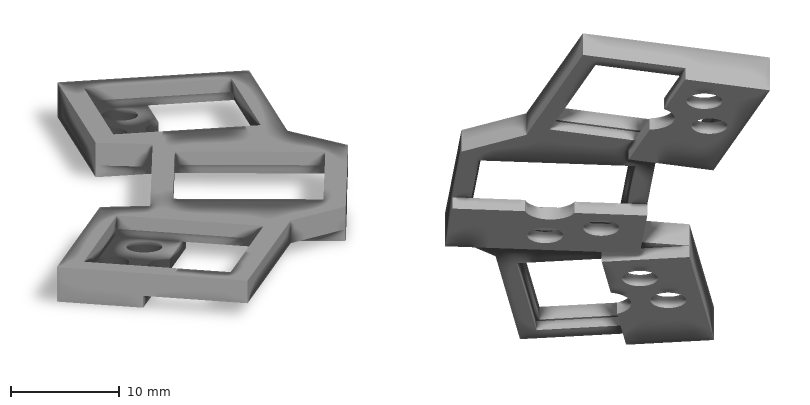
import cadquery as cq
import math

frame_size = 18.0
frame_thickness = 2.2
window_size = 13.85
lip_thickness = 1.3
clip_groove_depth = 0.325

plate_thickness = 1.15
plate_edge_y = -0.85
stem_hole_diameter = 4.9
pin_hole_diameter = 3.3
pin_hole_centers = [(-5.0, -3.9), (0.0, -5.9)]

first_key = (-21.18, 2.58, -15.0, 0.0)
middle_key = (0.0, 0.0, -27.0, 90.0)
last_key = (14.87, -15.09, -39.0, 0.0)
keys = [first_key, middle_key, last_key]

half_frame = frame_size / 2


def place(body, x, y, angle):
    """Turn a body about Z and move it to a key centre."""
    return body.rotate((0, 0, 0), (0, 0, 1), angle).translate((x, y, 0))


def make_frame():
    """Square ring standing on Z = 0, with a clip groove around the window below the lip."""
    frame = cq.Workplane("XY").rect(frame_size, frame_size).rect(window_size, window_size)
    frame = frame.extrude(frame_thickness)
    groove_span = window_size + 2 * clip_groove_depth
    groove = cq.Workplane("XY").rect(groove_span, groove_span).extrude(frame_thickness - lip_thickness)
    return frame.cut(groove)


def make_socket_plate():
    """Plate below Z = 0 with two pin holes and a round notch for the switch stem."""
    plate_width = plate_edge_y + half_frame
    plate = (
        cq.Workplane("XY")
        .center(0, plate_edge_y - plate_width / 2)
        .rect(frame_size, plate_width)
        .extrude(-plate_thickness)
    )
    stem_hole = cq.Workplane("XY").circle(stem_hole_diameter / 2).extrude(-plate_thickness)
    pin_holes = (
        cq.Workplane("XY")
        .pushPoints(pin_hole_centers)
        .circle(pin_hole_diameter / 2)
        .extrude(-plate_thickness)
    )
    return plate.cut(stem_hole).cut(pin_holes)


def frame_corner(key, side_x, side_y):
    """Position of a frame corner; each side is -1 or 1 along the frame's own axes."""
    x, y, turn, _ = key
    angle = math.radians(turn)
    local_x = side_x * half_frame
    local_y = side_y * half_frame
    return (
        x + local_x * math.cos(angle) - local_y * math.sin(angle),
        y + local_x * math.sin(angle) + local_y * math.cos(angle),
    )


def make_connector(left_key, right_key):
    """Four-sided web that fills the gap between two neighbouring frames."""
    outline = [
        frame_corner(left_key, 1, 1),
        frame_corner(right_key, -1, 1),
        frame_corner(right_key, -1, -1),
        frame_corner(left_key, 1, -1),
    ]
    return cq.Workplane("XY").polyline(outline).close().extrude(frame_thickness)


frames = []
socket_plates = []
for x, y, turn, plate_turn in keys:
    frames.append(place(make_frame(), x, y, turn))
    socket_plates.append(place(make_socket_plate(), x, y, turn + plate_turn))

connectors = [make_connector(left, right) for left, right in zip(keys, keys[1:])]

result = cq.Compound.makeCompound([body.val() for body in frames + connectors + socket_plates])